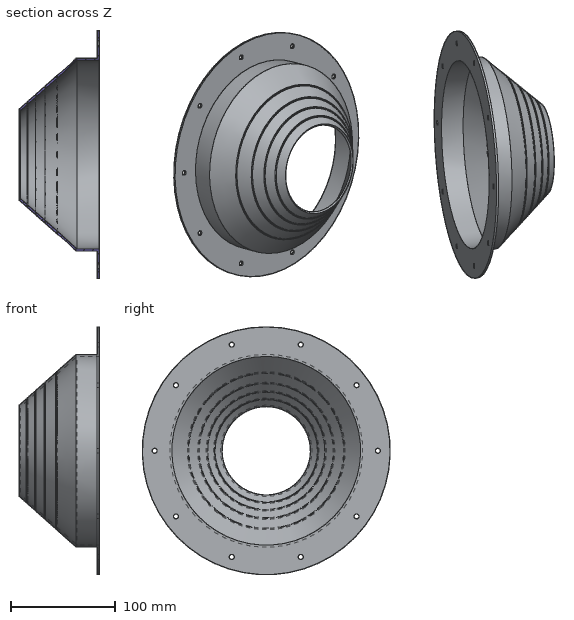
import cadquery as cq
import math

total_length = 76.5
sheet = 2.0
flange_radius = 118.2
collar_radius = 92.0
tip_radius = 43.5
cone_length = 54.5

groove_radii = (50.0, 57.0, 65.0, 75.0)
groove_width = 1.2
groove_depth = sheet / 2

hole_count = 10
hole_circle_radius = 106.5
hole_diameter = 4.5

cone_angle = math.atan2(collar_radius - tip_radius, cone_length)
slope_x = math.cos(cone_angle)
slope_r = math.sin(cone_angle)


def below_cone(x, radius, depth):
    """Point at a depth under the cone's outer surface, square to the slope."""
    return (x + depth * slope_r, radius - depth * slope_x)


def revolve_about_x(points):
    """Revolve a closed outline of (x, radius) points a full turn about X."""
    return cq.Workplane("XZ").polyline(points).close().revolve(360, (0, 0, 0), (1, 0, 0))


def make_shell():
    """Cone, collar and flange in one wall; the small end is cut square to the slope."""
    bore_radius = collar_radius - sheet
    inner_bend_x = cone_length + sheet * math.tan(cone_angle / 2)
    flange_x = total_length - sheet
    return revolve_about_x([
        (0, tip_radius),
        (cone_length, collar_radius),
        (flange_x, collar_radius),
        (flange_x, flange_radius),
        (total_length, flange_radius),
        (total_length, bore_radius),
        (inner_bend_x, bore_radius),
        below_cone(0, tip_radius, sheet),
    ])


def make_groove(radius):
    """Square-bottomed ring cut, centred where the cone has this outer radius."""
    x = (radius - tip_radius) / math.tan(cone_angle)
    half_x = groove_width / 2 * slope_x
    half_r = groove_width / 2 * slope_r
    start = (x - half_x, radius - half_r)
    end = (x + half_x, radius + half_r)
    return revolve_about_x([
        below_cone(*start, -groove_depth),
        below_cone(*end, -groove_depth),
        below_cone(*end, groove_depth),
        below_cone(*start, groove_depth),
    ])


def make_bolt_holes():
    """Cutters for the flange holes, the first one on the Y axis."""
    return (
        cq.Workplane("YZ", origin=(total_length - 2 * sheet, 0, 0))
        .polarArray(hole_circle_radius, 0, 360, hole_count)
        .circle(hole_diameter / 2)
        .extrude(3 * sheet)
    )


result = make_shell()
for groove_radius in groove_radii:
    result = result.cut(make_groove(groove_radius))
result = result.cut(make_bolt_holes())